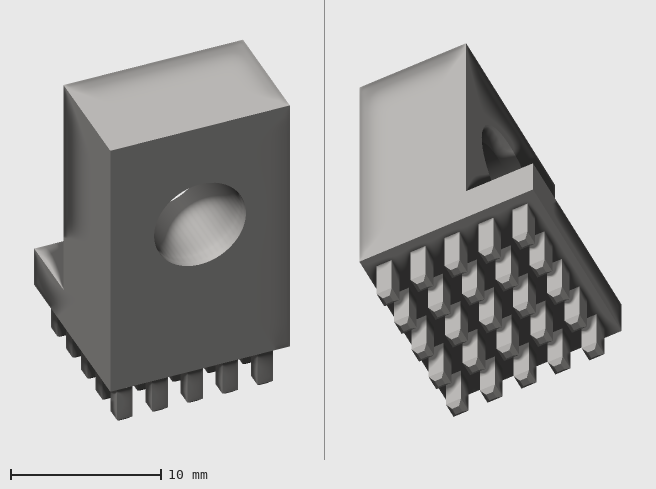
import cadquery as cq

side = 13.0
total_height = 23.5
pin_length = 3.5
foot_height = 3.0
upright_thickness = 8.0
body_height = total_height - pin_length
step_depth = side - upright_thickness

hole_diameter = 6.65
countersink_diameter = 8.41
hole_drop = 8.0
countersink_depth = (countersink_diameter - hole_diameter) / 2

pins_per_side = 5
pin_pitch = 2.54
pin_width = 1.13
pin_tip_chamfer = 0.3
pin_overlap = 0.24


def make_body():
    """L-shaped body with its bottom face on Z = 0, centred in X and Y."""
    foot = cq.Workplane("XY").box(side, side, foot_height, centered=(True, True, False))
    upright = (
        cq.Workplane("XY")
        .box(upright_thickness, side, body_height, centered=(True, True, False))
        .translate((step_depth / 2, 0, 0))
    )
    return foot.union(upright)


def make_hole_cutter():
    """Solid of revolution for the hole, countersunk on the step side."""
    hole_radius = hole_diameter / 2
    front_face = step_depth - side / 2
    return (
        cq.Workplane("XY")
        .moveTo(front_face, 0)
        .lineTo(front_face, countersink_diameter / 2)
        .lineTo(front_face + countersink_depth, hole_radius)
        .lineTo(side / 2, hole_radius)
        .lineTo(side / 2, 0)
        .close()
        .revolve(360, (0, 0, 0), (1, 0, 0))
        .translate((0, 0, body_height - hole_drop))
    )


def make_pins():
    """Square pins on a regular grid, each with a chamfered tip."""
    return (
        cq.Workplane("XY")
        .workplane(offset=-pin_length)
        .rarray(pin_pitch, pin_pitch, pins_per_side, pins_per_side)
        .rect(pin_width, pin_width)
        .extrude(pin_length + pin_overlap)
        .faces("<Z")
        .chamfer(pin_tip_chamfer)
    )


result = make_body().cut(make_hole_cutter()).union(make_pins())